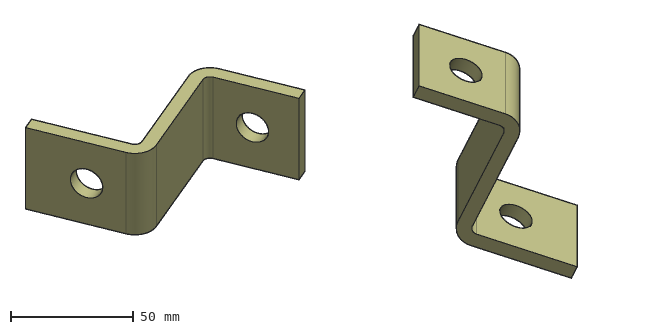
import cadquery as cq

length = 95.2
depth = 68.3
height = 41.2

thickness = 6.4
inner_radius = 3.1
outer_radius = inner_radius + thickness
web_left = 47.6
web_right = web_left + thickness

hole_diameter = 14.3
hole_offset = 27.0
hole_positions = (web_right - hole_offset, web_left + hole_offset)


def bent_strip():
    """Front flange, web and rear flange with rounded bends."""
    outline = [
        (0, 0),
        (web_right, 0),
        (web_right, depth - thickness),
        (length, depth - thickness),
        (length, depth),
        (web_left, depth),
        (web_left, thickness),
        (0, thickness),
    ]
    strip = cq.Workplane("XY").polyline(outline).close().extrude(height)
    inner_corners = ((web_left, thickness), (web_right, depth - thickness))
    outer_corners = ((web_right, 0), (web_left, depth))
    for corners, radius in ((inner_corners, inner_radius), (outer_corners, outer_radius)):
        for x, y in corners:
            corner_edge = cq.selectors.NearestToPointSelector((x, y, height / 2))
            strip = strip.edges("|Z").edges(corner_edge).fillet(radius)
    return strip


def mounting_holes():
    """Cylinders along Y that pass through the full depth of the bracket."""
    centers = [(x, height / 2) for x in hole_positions]
    return (
        cq.Workplane("XZ")
        .pushPoints(centers)
        .circle(hole_diameter / 2)
        .extrude(-depth)
    )


result = bent_strip().cut(mounting_holes())